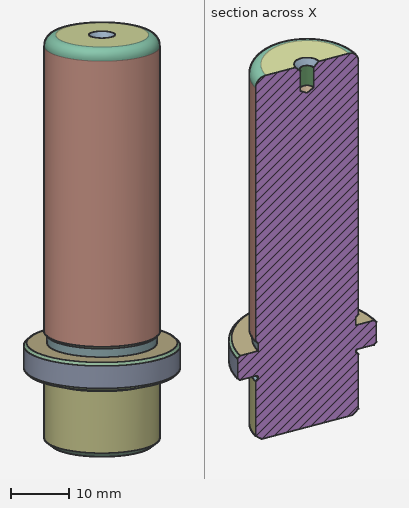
import cadquery as cq
import math

total_height = 73.0
flange_bottom = 13.0
flange_thickness = 5.0
flange_top = flange_bottom + flange_thickness

shank_radius = 10.0
top_round = 2.0
foot_chamfer_width = 1.2
foot_chamfer_height = 1.0

flange_radius = 13.5
flange_chamfer = 0.5

groove_depth = 0.5
groove_radius = shank_radius - groove_depth
upper_groove_floor = 1.5
lower_groove_floor = 0.5
lower_corner_size = 0.2

hole_radius = 1.25
countersink_radius = 2.25
countersink_angle = 90.0
hole_depth = 5.0
drill_point_angle = 118.0


def cone_height(base_radius, tip_radius, full_angle):
    """Axial length of a cone between two radii for a given full angle."""
    return (base_radius - tip_radius) / math.tan(math.radians(full_angle / 2))


def make_body():
    """Revolve the half outline in the XZ plane about the Z axis."""
    lower_floor_end = flange_bottom - lower_groove_floor
    upper_floor_end = flange_top + upper_groove_floor
    round_mid = top_round * math.sin(math.radians(45))
    round_centre_radius = shank_radius - top_round
    round_centre_height = total_height - top_round
    outline = (
        cq.Workplane("XZ")
        .moveTo(0, 0)
        .lineTo(shank_radius - foot_chamfer_width, 0)
        .lineTo(shank_radius, foot_chamfer_height)
        .lineTo(shank_radius, lower_floor_end - groove_depth)
        .lineTo(groove_radius, lower_floor_end)
        .lineTo(groove_radius, flange_bottom - lower_corner_size)
        .lineTo(groove_radius + lower_corner_size, flange_bottom)
        .lineTo(flange_radius - flange_chamfer, flange_bottom)
        .lineTo(flange_radius, flange_bottom + flange_chamfer)
        .lineTo(flange_radius, flange_top - flange_chamfer)
        .lineTo(flange_radius - flange_chamfer, flange_top)
        .lineTo(groove_radius, flange_top)
        .lineTo(groove_radius, upper_floor_end)
        .lineTo(shank_radius, upper_floor_end + groove_depth)
        .lineTo(shank_radius, round_centre_height)
        .threePointArc(
            (round_centre_radius + round_mid, round_centre_height + round_mid),
            (round_centre_radius, total_height),
        )
        .lineTo(0, total_height)
        .close()
    )
    return outline.revolve(360, (0, 0, 0), (0, 1, 0))


def make_centre_hole():
    """Countersunk blind hole with a conical drill point."""
    countersink_bottom = total_height - cone_height(countersink_radius, hole_radius, countersink_angle)
    hole_bottom = total_height - hole_depth
    drill_tip = hole_bottom - cone_height(hole_radius, 0, drill_point_angle)
    outline = (
        cq.Workplane("XZ")
        .moveTo(0, drill_tip)
        .lineTo(hole_radius, hole_bottom)
        .lineTo(hole_radius, countersink_bottom)
        .lineTo(countersink_radius, total_height)
        .lineTo(0, total_height)
        .close()
    )
    return outline.revolve(360, (0, 0, 0), (0, 1, 0))


result = make_body().cut(make_centre_hole())